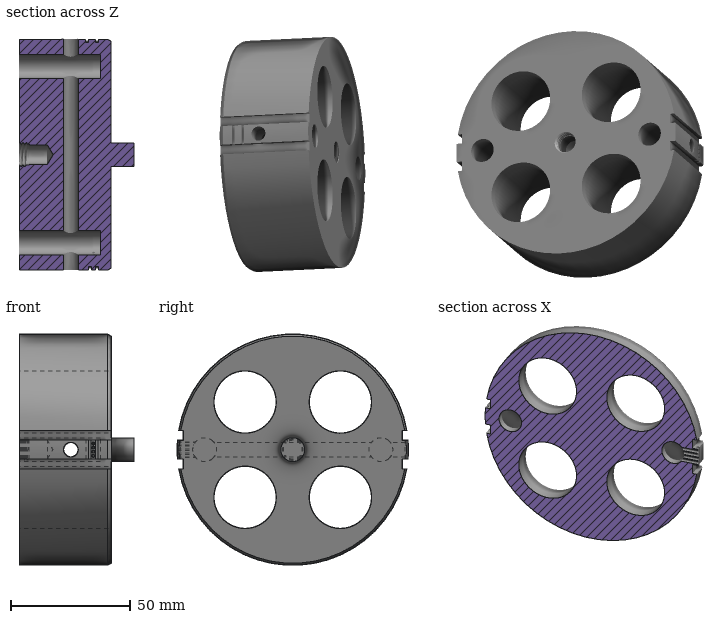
import cadquery as cq
import math

disc_radius = 48.5
disc_thickness = 38.5
chamfer_length = 1.6
chamfer_height = 0.9

tongue_height = 8.0
groove_outer_height = 16.0
groove_depth = 2.5

large_hole_diameter = 26.0
large_hole_spacing = 40.0

pin_diameter = 10.0
pin_length = 9.5

side_hole_diameter = 10.0
side_hole_offset = 37.0
side_hole_depth = 34.0

cross_hole_diameter = 6.0
cross_hole_x = 21.5

notch_width = 1.1
notch_depth = 1.5
notch_end_x = 33.0
minus_y_land_width = 1.8
plus_y_land_width = 3.0

small_hole_diameter = 1.2
small_hole_pitch = 1.7
small_hole_count = 4

drill_diameter = 8.0
drill_depth = 11.6
drill_tip_angle = 118.0
thread_minor_diameter = 8.5
thread_major_diameter = 10.0
thread_pitch = 1.5
thread_depth = 3.4
thread_bore_depth = 4.1
thread_crest_gap = 0.2
thread_overlap = 0.1


def disc():
    half_profile = [
        (0, 0),
        (0, disc_radius),
        (disc_thickness - chamfer_length, disc_radius),
        (disc_thickness, disc_radius - chamfer_height),
        (disc_thickness, 0),
    ]
    return cq.Workplane("XY").polyline(half_profile).close().revolve(360, (0, 0, 0), (1, 0, 0))


def x_cylinder(diameter, start_x, length, points):
    plane = cq.Workplane("YZ", origin=(start_x, 0, 0))
    return plane.pushPoints(points).circle(diameter / 2).extrude(length)


def box_between(x_range, y_range, z_range):
    sizes = [high - low for low, high in (x_range, y_range, z_range)]
    corner = (x_range[0], y_range[0], z_range[0])
    return cq.Workplane("XY").box(*sizes, centered=False).translate(corner)


def flank_depth(side, depth):
    """Y range from the given depth below the flank out to the rim."""
    return sorted((side * (disc_radius - depth), side * disc_radius))


def side_grooves(side):
    inner = tongue_height / 2
    outer = groove_outer_height / 2
    x_range = (0, disc_thickness)
    y_range = flank_depth(side, groove_depth)
    upper = box_between(x_range, y_range, (inner, outer))
    lower = box_between(x_range, y_range, (-outer, -inner))
    return upper.union(lower)


def tongue_notches(side, land_width):
    half_height = tongue_height / 2
    front_start = notch_end_x - notch_width
    rear_start = front_start - land_width - notch_width
    notches = cq.Workplane("XY")
    for start_x in (rear_start, front_start):
        x_range = (start_x, start_x + notch_width)
        y_range = flank_depth(side, notch_depth)
        notches = notches.add(box_between(x_range, y_range, (-half_height, half_height)))
    return notches.combine()


def y_cylinder(diameter, x, z, start_y, end_y):
    plane = cq.Workplane("XZ", origin=(x, start_y, z))
    return plane.circle(diameter / 2).extrude(start_y - end_y)


def drilled_hole():
    drill_radius = drill_diameter / 2
    minor_radius = thread_minor_diameter / 2
    tip_length = drill_radius / math.tan(math.radians(drill_tip_angle / 2))
    half_profile = [
        (0, 0),
        (0, minor_radius),
        (thread_bore_depth, minor_radius),
        (thread_bore_depth, drill_radius),
        (drill_depth, drill_radius),
        (drill_depth + tip_length, 0),
    ]
    return cq.Workplane("XY").polyline(half_profile).close().revolve(360, (0, 0, 0), (1, 0, 0))


def thread_groove():
    """Helical V groove that starts one pitch outside the back face."""
    mouth_radius = thread_minor_diameter / 2 - thread_overlap
    half_width = (thread_pitch - thread_crest_gap) / 2
    helix_length = thread_pitch + thread_depth
    helix = cq.Wire.makeHelix(thread_pitch, helix_length, thread_minor_diameter / 2)
    vee = [
        (mouth_radius, -half_width),
        (mouth_radius, half_width),
        (thread_major_diameter / 2, 0),
    ]
    groove = cq.Workplane("XZ").polyline(vee).close().sweep(cq.Workplane(obj=helix), isFrenet=True)
    along_x = groove.rotate((0, 0, 0), (0, 1, 0), 90).rotate((0, 0, 0), (1, 0, 0), 90)
    return along_x.translate((-thread_pitch, 0, 0))


body = disc()
for flank, land in ((-1, minus_y_land_width), (1, plus_y_land_width)):
    body = body.cut(side_grooves(flank)).cut(tongue_notches(flank, land))

half_spacing = large_hole_spacing / 2
large_hole_points = [(y, z) for y in (-half_spacing, half_spacing) for z in (-half_spacing, half_spacing)]
body = body.cut(x_cylinder(large_hole_diameter, 0, disc_thickness, large_hole_points))
side_hole_points = [(-side_hole_offset, 0), (side_hole_offset, 0)]
body = body.cut(x_cylinder(side_hole_diameter, 0, side_hole_depth, side_hole_points))
body = body.union(x_cylinder(pin_diameter, disc_thickness, pin_length, [(0, 0)]))
body = body.cut(y_cylinder(cross_hole_diameter, cross_hole_x, 0, disc_radius, -disc_radius))

small_hole_x = notch_end_x - notch_width - minus_y_land_width / 2
for index in range(small_hole_count):
    small_hole_z = (index - (small_hole_count - 1) / 2) * small_hole_pitch
    small_hole = y_cylinder(small_hole_diameter, small_hole_x, small_hole_z, -side_hole_offset, -disc_radius)
    body = body.cut(small_hole)

result = body.cut(drilled_hole()).cut(thread_groove())